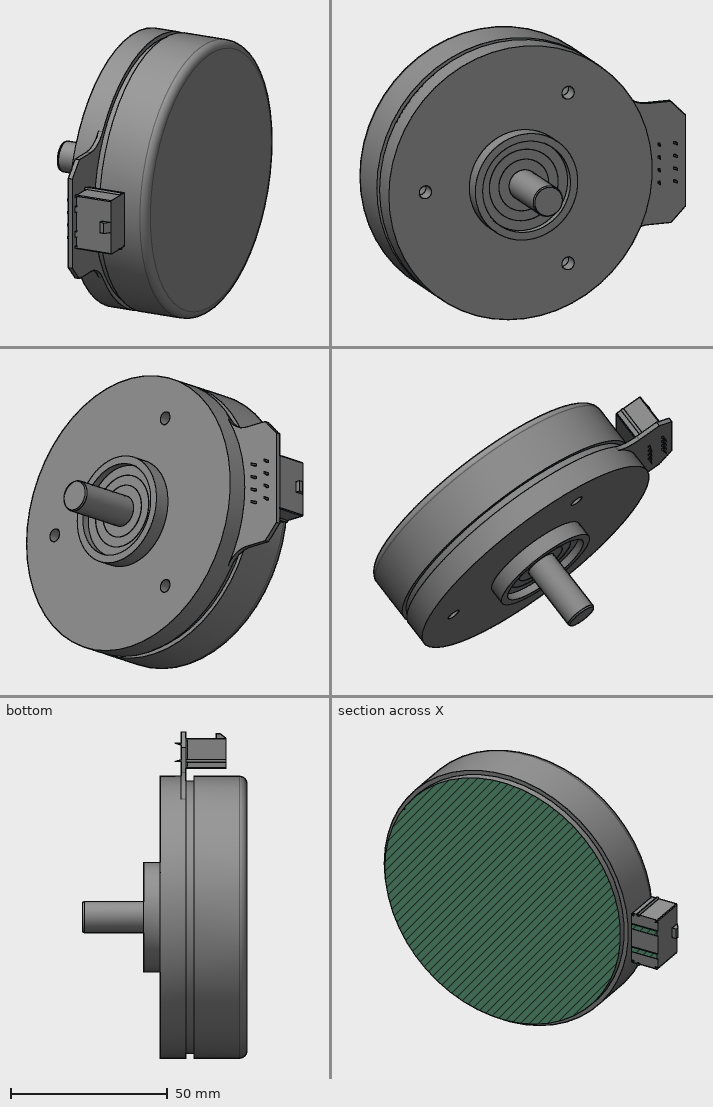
import cadquery as cq
import math


body_diameter = 90.0
body_radius = body_diameter / 2
stator_thickness = 6.7
board_thickness = 1.5
gap_width = 2.5
gap_diameter = 87.0
rotor_thickness = 17.0
rotor_fillet = 2.5
board_start = stator_thickness
board_end = board_start + board_thickness
rotor_start = board_end + gap_width

shaft_diameter = 10.0
shaft_length = 24.8
shaft_chamfer_length = 0.6
shaft_chamfer_depth = 0.3
boss_diameter = 35.0
boss_height = 5.3
bearing_diameter = 30.0
bearing_recess = 2.5
seal_outer_diameter = 23.5
seal_inner_diameter = 17.0
seal_height = 0.1
bearing_face = -boss_height + bearing_recess

hole_diameter = 4.2
hole_circle_radius = 32.5
hole_count = 3
hole_depth = 5.0
drill_point_angle = 118.0

tab_reach = 59.0
tab_width = 40.0
tab_chamfer = 5.0
tab_root_radius = 10.0

connector_length = 12.8
connector_width = 18.0
connector_near_y = -47.4
connector_far_y = -57.0
connector_chamfer = 0.3
rib_radius = 0.5
rib_y = -49.8
standoff_height = 0.5
foot_width = 1.9
foot_offset = 4.2
corner_foot_size = 0.8
connector_end = board_end + connector_length
connector_height = connector_near_y - connector_far_y
connector_y = (connector_near_y + connector_far_y) / 2

latch_length = 3.2
latch_flat = 1.3
latch_height = 1.5
latch_width = 3.5

pin_columns = 4
pin_pitch = 4.2
pin_row_pitch = 5.2
pin_row_center_y = -52.5
pin_size = 0.65
pin_length = 2.0


def disc(start, length, diameter):
    """Cylinder on the motor axis, from X = start towards +X."""
    return cq.Workplane("YZ").workplane(offset=start).circle(diameter / 2).extrude(length)


def make_body():
    """Stator, round board, recessed core and rotor stacked along the axis."""
    stator = disc(0, stator_thickness, body_diameter)
    board = disc(board_start, board_thickness, body_diameter)
    core = disc(board_end, gap_width, gap_diameter)
    rotor = disc(rotor_start, rotor_thickness, body_diameter).faces(">X").edges().fillet(rotor_fillet)
    return stator.union(board).union(core).union(rotor)


def make_boss():
    """Bearing seat with the bearing face set back and its seal slightly proud."""
    seat = disc(-boss_height, boss_height, boss_diameter)
    recess = disc(-boss_height, bearing_recess, bearing_diameter)
    seal = disc(bearing_face - seal_height, seal_height, seal_outer_diameter)
    seal_opening = disc(bearing_face - seal_height, seal_height, seal_inner_diameter)
    return seat.cut(recess).union(seal.cut(seal_opening))


def make_shaft():
    """Shaft with a slender chamfer at its free end."""
    radius = shaft_diameter / 2
    return (
        cq.Workplane("XY")
        .moveTo(0, 0)
        .lineTo(0, radius)
        .lineTo(-shaft_length + shaft_chamfer_length, radius)
        .lineTo(-shaft_length, radius - shaft_chamfer_depth)
        .lineTo(-shaft_length, 0)
        .close()
        .revolve(360, (0, 0, 0), (1, 0, 0))
    )


def make_mounting_hole(angle):
    """Drilled hole at the given angle from +Y around the motor axis."""
    radius = hole_diameter / 2
    point_length = radius / math.tan(math.radians(drill_point_angle / 2))
    profile = [(0, 0), (0, radius), (hole_depth, radius), (hole_depth + point_length, 0)]
    hole = cq.Workplane("XY").polyline(profile).close().revolve(360, (0, 0, 0), (1, 0, 0))
    return hole.translate((0, hole_circle_radius, 0)).rotate((0, 0, 0), (1, 0, 0), angle)


def make_tab():
    """Board tab whose straight sides blend into the round board with concave arcs."""
    half_width = tab_width / 2
    arc_center_z = half_width + tab_root_radius
    arc_center_y = -math.sqrt((body_radius + tab_root_radius) ** 2 - arc_center_z ** 2)
    reach_ratio = body_radius / (body_radius + tab_root_radius)
    touch_y = arc_center_y * reach_ratio
    touch_z = arc_center_z * reach_ratio
    middle_angle = (math.atan2(touch_z - arc_center_z, touch_y - arc_center_y) - math.pi / 2) / 2
    middle_y = arc_center_y + tab_root_radius * math.cos(middle_angle)
    middle_z = arc_center_z + tab_root_radius * math.sin(middle_angle)
    return (
        cq.Workplane("YZ")
        .workplane(offset=board_start)
        .moveTo(0, touch_z)
        .lineTo(touch_y, touch_z)
        .threePointArc((middle_y, middle_z), (arc_center_y, half_width))
        .lineTo(-tab_reach + tab_chamfer, half_width)
        .lineTo(-tab_reach, half_width - tab_chamfer)
        .lineTo(-tab_reach, -half_width + tab_chamfer)
        .lineTo(-tab_reach + tab_chamfer, -half_width)
        .lineTo(arc_center_y, -half_width)
        .threePointArc((middle_y, -middle_z), (touch_y, -touch_z))
        .lineTo(0, -touch_z)
        .close()
        .extrude(board_thickness)
    )


def make_connector():
    """Chamfered housing on two cross feet and four corner feet, with a half-round rib along each end."""
    housing = (
        cq.Workplane("YZ")
        .workplane(offset=board_end + standoff_height)
        .center(connector_y, 0)
        .rect(connector_height, connector_width)
        .extrude(connector_length - standoff_height)
        .edges("|X")
        .chamfer(connector_chamfer)
    )
    feet = (
        cq.Workplane("YZ")
        .workplane(offset=board_end)
        .pushPoints([(connector_y, -foot_offset), (connector_y, foot_offset)])
        .rect(connector_height, foot_width)
        .extrude(standoff_height)
    )
    corner_feet = (
        cq.Workplane("YZ")
        .workplane(offset=board_end)
        .center(connector_y, 0)
        .rect(connector_height - corner_foot_size, connector_width - corner_foot_size, forConstruction=True)
        .vertices()
        .rect(corner_foot_size, corner_foot_size)
        .extrude(standoff_height)
        .intersect(housing.translate((-standoff_height, 0, 0)))
    )
    ribs = (
        cq.Workplane("YZ")
        .workplane(offset=board_end)
        .pushPoints([(rib_y, -connector_width / 2), (rib_y, connector_width / 2)])
        .circle(rib_radius)
        .extrude(connector_length)
    )
    return housing.union(feet).union(corner_feet).union(ribs)


def make_latch():
    """Nose that slopes down to the open end of the connector."""
    latch_start = connector_end - latch_length
    latch_top = connector_far_y - latch_height
    return (
        cq.Workplane("XY")
        .moveTo(latch_start, connector_far_y)
        .lineTo(latch_start, latch_top)
        .lineTo(latch_start + latch_flat, latch_top)
        .lineTo(connector_end, connector_far_y)
        .close()
        .extrude(latch_width / 2, both=True)
    )


def make_pin(side, z):
    """Wedge-shaped solder pin; side is +1 for the row near the motor, -1 for the far row."""
    row_y = pin_row_center_y + side * pin_row_pitch / 2
    outer_y = row_y + side * pin_size / 2
    inner_y = row_y - side * pin_size / 2
    return (
        cq.Workplane("XY")
        .workplane(offset=z - pin_size / 2)
        .moveTo(board_start, inner_y)
        .lineTo(board_start, outer_y)
        .lineTo(board_start - pin_length, outer_y)
        .close()
        .extrude(pin_size)
    )


result = make_body().union(make_boss()).union(make_shaft())
for index in range(hole_count):
    result = result.cut(make_mounting_hole(index * 360 / hole_count))

result = result.union(make_tab()).union(make_connector()).union(make_latch())
for row_side in (1, -1):
    for column in range(pin_columns):
        column_z = (column - (pin_columns - 1) / 2) * pin_pitch
        result = result.union(make_pin(row_side, column_z))